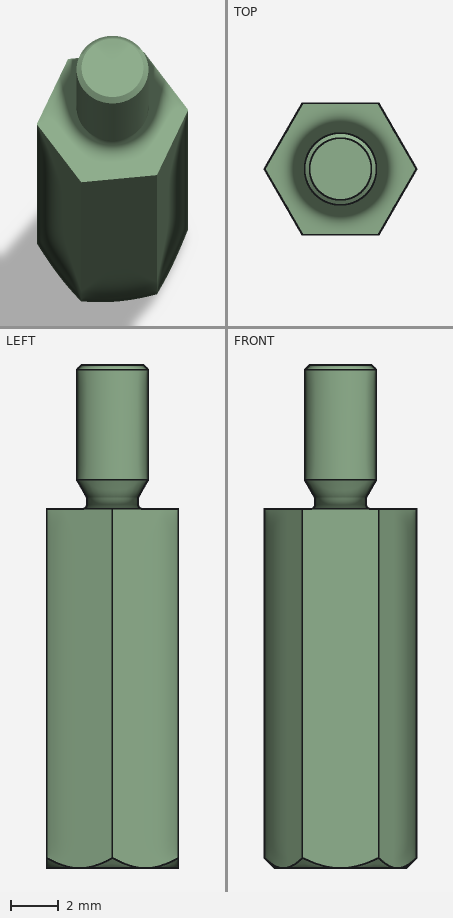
import cadquery as cq
import math

total_height = 21.0
across_flats = 5.5
across_corners = across_flats / math.cos(math.radians(30))
body_height = 15.0
foot_diameter = across_flats

stud_diameter = 3.0
neck_diameter = 2.15
neck_fillet = 0.17
cone_end_height = 1.22
cone_half_angle = math.radians(30)
tip_chamfer = 0.2

stud_radius = stud_diameter / 2
neck_radius = neck_diameter / 2


def make_body():
    """Hexagonal bar with two corners on X, its lower corners turned off by a cone."""
    bar = cq.Workplane("XY").polygon(6, across_corners).extrude(body_height)
    foot_radius = foot_diameter / 2
    corner_radius = across_corners / 2
    chamfer_height = corner_radius - foot_radius
    envelope = (
        cq.Workplane("XZ")
        .lineTo(foot_radius, 0)
        .lineTo(corner_radius, chamfer_height)
        .lineTo(corner_radius, body_height)
        .lineTo(0, body_height)
        .close()
        .revolve(360, (0, 0), (0, 1))
    )
    return bar.intersect(envelope)


def make_stud():
    """Revolved stud: filleted neck, cone up to full diameter, chamfered tip."""
    cone_height = (stud_radius - neck_radius) / math.tan(cone_half_angle)
    cone_top = body_height + cone_end_height
    cone_bottom = cone_top - cone_height

    fillet_setback = neck_fillet * math.tan(cone_half_angle / 2)
    fillet_start = (neck_radius, cone_bottom - fillet_setback)
    fillet_end = (
        neck_radius + fillet_setback * math.sin(cone_half_angle),
        cone_bottom + fillet_setback * math.cos(cone_half_angle),
    )

    return (
        cq.Workplane("XZ")
        .moveTo(0, body_height)
        .lineTo(neck_radius + neck_fillet, body_height)
        .radiusArc((neck_radius, body_height + neck_fillet), neck_fillet)
        .lineTo(*fillet_start)
        .radiusArc(fillet_end, neck_fillet)
        .lineTo(stud_radius, cone_top)
        .lineTo(stud_radius, total_height - tip_chamfer)
        .lineTo(stud_radius - tip_chamfer, total_height)
        .lineTo(0, total_height)
        .close()
        .revolve(360, (0, 0), (0, 1))
    )


body = make_body()
stud = make_stud()
result = body.union(stud)